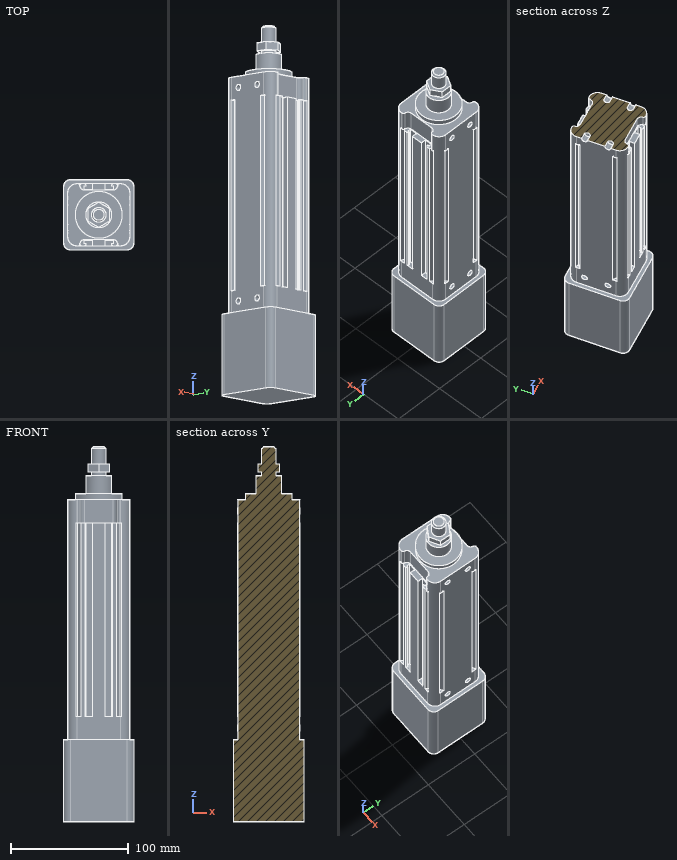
import cadquery as cq
import math

motor_top = 70.0
body_top = 275.0
flange_top = 280.0
collar_top = 295.5
nut_bottom = 298.2
nut_top = 305.3
rod_top = 320.0
track_margin = 20.0
track_bottom = motor_top + track_margin
track_top = body_top - track_margin

motor_side = 60.0
motor_corner = 6.0
body_side = 53.0
body_corner = 8.0
body_half = body_side / 2

flange_diameter = 40.0
collar_diameter = 22.0
rod_diameter = 12.5
rod_chamfer = 1.5
nut_flats = 18.5

recess_floor_half = 12.0
recess_wall_half = 16.0
recess_mouth_half = 18.0
recess_depth = 5.5

slot_inner = 5.5
slot_throat = 11.0
slot_lip_chamfer = 1.0
slot_mouth = slot_throat + slot_lip_chamfer
slot_undercut = 12.5
slot_shoulder = 2.0
slot_depth = 4.8

vee_inner = 15.0
vee_apex = 18.0
vee_outer = 19.5
vee_depth = 3.5

hole_diameter = 5.0
hole_depth = 6.5
hole_offset = 11.0
hole_end_margin = 10.0
drill_point_angle = 118


def square_bar(side, corner, bottom, top):
    bar = cq.Workplane("XY").workplane(offset=bottom).rect(side, side).extrude(top - bottom)
    return bar.edges("|Z").fillet(corner)


def round_bar(diameter, bottom, top):
    return cq.Workplane("XY").workplane(offset=bottom).circle(diameter / 2).extrude(top - bottom)


def track_cutter(points):
    """Pair of mirrored grooves in the front face; points are (distance from centre, depth)."""
    outline = [(x, depth - body_half) for x, depth in points]
    groove = cq.Workplane("XY").workplane(offset=track_bottom).polyline(outline).close()
    groove = groove.extrude(track_top - track_bottom)
    return groove.union(groove.mirror("YZ"))


def recess_cutter():
    """Front-face recess whose side walls are S curves of two tangent arcs."""
    wall_run = recess_mouth_half - recess_floor_half
    turn = 2 * math.atan(recess_depth / wall_run)
    inner_radius = (recess_wall_half - recess_floor_half) / math.sin(turn)
    lip_radius = (recess_mouth_half - recess_wall_half) / math.sin(turn)
    face_y = -body_half
    wall_y = face_y + lip_radius * (1 - math.cos(turn))
    floor_y = face_y + recess_depth
    outline = (
        cq.Workplane("XY").workplane(offset=track_top)
        .moveTo(-recess_mouth_half, face_y)
        .radiusArc((-recess_wall_half, wall_y), -lip_radius)
        .radiusArc((-recess_floor_half, floor_y), inner_radius)
        .lineTo(recess_floor_half, floor_y)
        .radiusArc((recess_wall_half, wall_y), inner_radius)
        .radiusArc((recess_mouth_half, face_y), -lip_radius)
        .close()
    )
    return outline.extrude(body_top - track_top)


def hole_cutter(y, z):
    """Blind hole with a drill point, entering the left face."""
    radius = hole_diameter / 2
    tip = radius / math.tan(math.radians(drill_point_angle / 2))
    profile = [(0, 0), (radius, 0), (radius, hole_depth), (0, hole_depth + tip)]
    drill = cq.Workplane("XY").polyline(profile).close().revolve(360, (0, 0), (0, 1))
    return drill.rotate((0, 0, 0), (0, 0, 1), -90).translate((-body_half, y, z))


def turned(cutter, angle):
    return cutter.rotate((0, 0, 0), (0, 0, 1), angle)


body = square_bar(body_side, body_corner, motor_top, body_top)

recess = recess_cutter()
slots = track_cutter([
    (slot_inner, 0),
    (slot_mouth, 0),
    (slot_throat, slot_lip_chamfer),
    (slot_throat, slot_shoulder),
    (slot_undercut, slot_shoulder),
    (slot_undercut, slot_depth),
    (slot_inner, slot_depth),
])
vees = track_cutter([(vee_inner, 0), (vee_apex, vee_depth), (vee_outer, 0)])

for angle in (0, 180):
    body = body.cut(turned(recess, angle)).cut(turned(slots, angle))

for angle in (0, 90, 180, 270):
    body = body.cut(turned(vees, angle))

for y in (-hole_offset, hole_offset):
    for z in (motor_top + hole_end_margin, body_top - hole_end_margin):
        hole = hole_cutter(y, z)
        body = body.cut(hole).cut(turned(hole, 180))

motor = square_bar(motor_side, motor_corner, 0, motor_top)
flange = round_bar(flange_diameter, body_top, flange_top)
collar = round_bar(collar_diameter, flange_top, collar_top)
rod = round_bar(rod_diameter, collar_top, rod_top).faces(">Z").chamfer(rod_chamfer)
nut_corners = nut_flats / math.cos(math.radians(30))
nut = cq.Workplane("XY").workplane(offset=nut_bottom).polygon(6, nut_corners).extrude(nut_top - nut_bottom)
nut = turned(nut, 90)

result = motor.union(body).union(flange).union(collar).union(rod).union(nut)